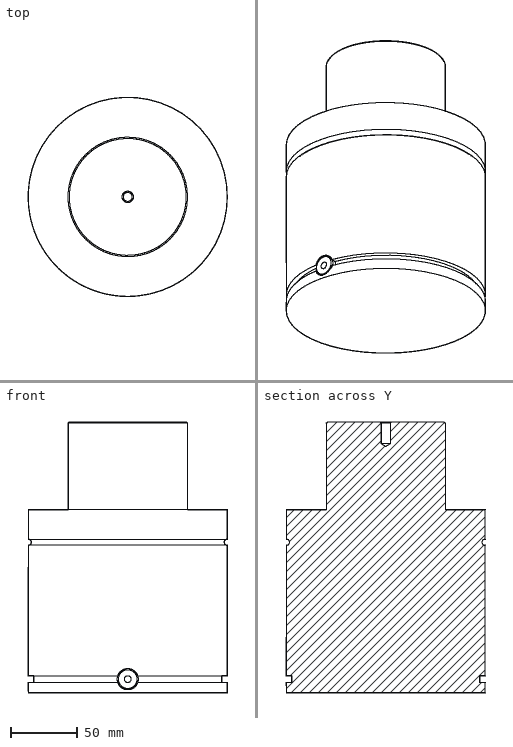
import cadquery as cq
import math

total_height = 204.0
body_diameter = 150.0
body_height = 138.0
rod_diameter = 90.0
rod_edge_break = 1.0

base_groove_bottom = 8.0
base_groove_width = 4.9
base_groove_depth = 4.0

round_groove_height = 113.5
round_groove_radius = 2.2

plug_height = base_groove_bottom + base_groove_width / 2
plug_diameter = 16.0
plug_face_diameter = 14.0
plug_length = 12.2
plug_face_recess = 0.5
plug_hole_diameter = 5.0
plug_hole_depth = 5.0

rod_hole_diameter = 6.7
rod_hole_mouth_diameter = 8.5
rod_hole_depth = 16.3
drill_tip_angle = 118.0

body_radius = body_diameter / 2
plug_face_y = -body_radius + plug_face_recess


def make_body():
    """Stepped cylinder with a narrower rod on top and a broken rod edge."""
    body = cq.Workplane("XY").circle(body_radius).extrude(body_height)
    rod = cq.Workplane("XY").circle(rod_diameter / 2).extrude(total_height)
    return body.union(rod.faces(">Z").chamfer(rod_edge_break))


def make_base_groove():
    """Ring of square section, open to the outside of the body."""
    return (
        cq.Workplane("XY")
        .workplane(offset=base_groove_bottom)
        .circle(body_radius + base_groove_depth)
        .circle(body_radius - base_groove_depth)
        .extrude(base_groove_width)
    )


def make_round_groove():
    """Ring of circular section centred on the outside of the body."""
    return (
        cq.Workplane("XZ")
        .center(body_radius, round_groove_height)
        .circle(round_groove_radius)
        .revolve(360, (-body_radius, 0), (-body_radius, 1))
    )


def port_cylinder(diameter, start_y, length):
    """Cylinder on the plug axis, running inward (+Y) from start_y."""
    start = cq.Vector(0, start_y, plug_height)
    return cq.Workplane(cq.Solid.makeCylinder(diameter / 2, length, start, cq.Vector(0, 1, 0)))


def make_plug():
    """Plug with a chamfered face and a blind centre hole."""
    chamfer = (plug_diameter - plug_face_diameter) / 2
    plug = port_cylinder(plug_diameter, plug_face_y, plug_length)
    plug = plug.faces("<Y").chamfer(chamfer)
    return plug.cut(port_cylinder(plug_hole_diameter, plug_face_y, plug_hole_depth))


def make_rod_hole():
    """Blind drilled hole with a conical tip and a 45 degree countersink."""
    radius = rod_hole_diameter / 2
    mouth_radius = rod_hole_mouth_diameter / 2
    bottom = total_height - rod_hole_depth
    tip = bottom - radius / math.tan(math.radians(drill_tip_angle / 2))
    return (
        cq.Workplane("XZ")
        .moveTo(0, tip)
        .lineTo(radius, bottom)
        .lineTo(radius, total_height - (mouth_radius - radius))
        .lineTo(mouth_radius, total_height)
        .lineTo(0, total_height)
        .close()
        .revolve(360, (0, 0), (0, 1))
    )


result = make_body().cut(make_base_groove()).cut(make_round_groove())
result = result.cut(port_cylinder(plug_diameter, -body_radius, plug_face_recess + plug_length))
result = result.union(make_plug())
result = result.cut(make_rod_hole())